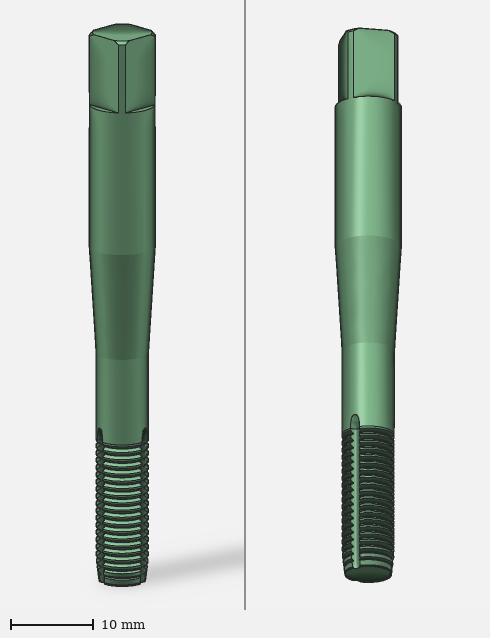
import cadquery as cq

total_length = 69.1
thread_length = 18.0
neck_top = 28.7
shank_bottom = 42.15
square_length = 9.0

shank_radius = 4.0
neck_radius = 3.2
square_width = 6.2
top_chamfer = 0.4

pitch_count = 19
top_crest_z = 17.8
bottom_crest_z = 0.55
pitch = (top_crest_z - bottom_crest_z) / pitch_count
crest_radius = neck_radius
thread_depth = 0.4
root_radius = crest_radius - thread_depth
crest_flat = 0.2
root_flat = 0.1
tip_radius = 2.8
lead_length = 2.75

groove_count = 3
groove_start_angle = 256.0
groove_radius = 0.6
groove_bend_radius = 1.9


def revolve_profile(points):
    """Revolve an (r, z) outline about the Z axis."""
    return cq.Workplane("XZ").polyline(points).close().revolve(360, (0, 0), (0, 1))


def make_oil_grooves():
    """Round-bottomed channels along the thread that curve outward through the neck surface."""
    channel = cq.Workplane("XY").circle(groove_radius).extrude(thread_length)
    runout = (
        cq.Workplane("XY")
        .workplane(offset=thread_length)
        .circle(groove_radius)
        .revolve(90, (groove_bend_radius, 0), (groove_bend_radius, 1))
    )
    groove = channel.union(runout).translate((neck_radius, 0, 0))
    grooves = cq.Workplane("XY")
    for index in range(groove_count):
        angle = groove_start_angle + index * 360 / groove_count
        grooves = grooves.add(groove.rotate((0, 0, 0), (0, 0, 1), angle))
    return grooves.combine()


def make_drive_square():
    """Square drive whose corners are rounded off by the shank and chamfered at the top."""
    square = (
        cq.Workplane("XY")
        .workplane(offset=total_length - square_length)
        .rect(square_width, square_width)
        .extrude(square_length)
    )
    corner_envelope = revolve_profile([
        (0, 0),
        (shank_radius, 0),
        (shank_radius, total_length - top_chamfer),
        (shank_radius - top_chamfer, total_length),
        (0, total_length),
    ])
    return square.intersect(corner_envelope)


def make_shank(grooves):
    """Neck, taper and cylindrical shank carrying the drive square."""
    body = revolve_profile([
        (0, thread_length),
        (neck_radius, thread_length),
        (neck_radius, neck_top),
        (shank_radius, shank_bottom),
        (shank_radius, total_length - square_length),
        (0, total_length - square_length),
    ])
    return body.union(make_drive_square()).cut(grooves)


def make_thread_space(crest_z):
    """Ring of the V-shaped space below the crest that is centred at crest_z."""
    space_z = crest_z - pitch / 2
    half_mouth = (pitch - crest_flat) / 2
    half_root = root_flat / 2
    return revolve_profile([
        (crest_radius, space_z - half_mouth),
        (root_radius, space_z - half_root),
        (root_radius, space_z + half_root),
        (crest_radius, space_z + half_mouth),
    ])


def make_thread(grooves):
    """Threaded section with ring-shaped teeth and a tapered lead at the tip."""
    body = revolve_profile([
        (0, 0),
        (tip_radius, 0),
        (crest_radius, lead_length),
        (crest_radius, thread_length),
        (0, thread_length),
    ])
    for index in range(pitch_count + 1):
        body = body.cut(make_thread_space(top_crest_z - index * pitch))
    return body.cut(grooves)


oil_grooves = make_oil_grooves()
shank = make_shank(oil_grooves)
thread = make_thread(oil_grooves)
result = cq.Compound.makeCompound([shank.solids().val(), thread.solids().val()])